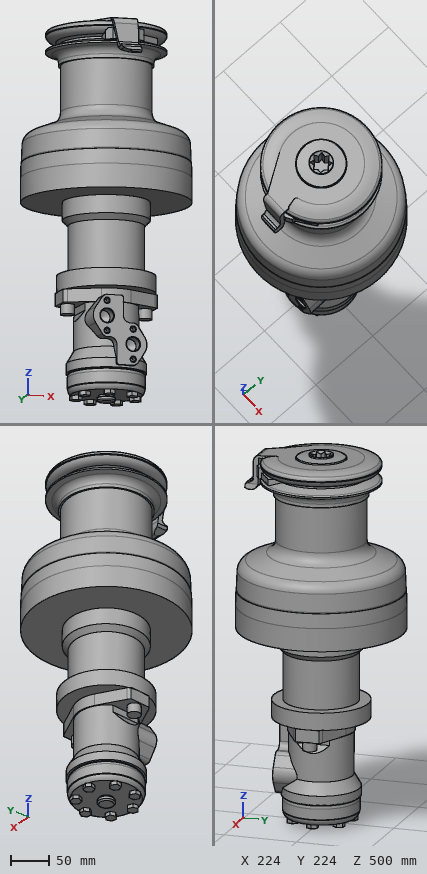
import cadquery as cq
import math


TOP_Z = 500.0
COVER_Z = 495.0
PLATE_RADIUS = 56.5
JAW_RADIUS = 79.5
JAW_SEAM_RADIUS = 78.5
JAW_ROOT_RADIUS = 60.5
DRUM_RADIUS = 60.0
BASE_RADIUS = 112.0
BASE_BOTTOM_Z = 264.5
STUB_RADIUS = 57.5
COLUMN_RADIUS = 50.0
FLANGE_RADIUS = 65.0
FLANGE_TOP_Z = 166.5
FLANGE_BOTTOM_Z = 143.0

CAP_RADIUS = 33.5
CAP_EDGE_Z = 496.5
CAP_CROWN_Z = 498.0
GROOVE_WIDTH = 1.0
GROOVE_DEPTH = 2.0
COLLAR_RADIUS = 16.0
SOCKET_MOUTH_RADIUS = 15.5
SOCKET_MOUTH_DEPTH = 3.0
SOCKET_TIP_RADIUS = 14.0
SOCKET_ROOT_RADIUS = 10.0
SOCKET_POINTS = 8
SOCKET_DEPTH = 30.0

ARM_THICKNESS = 3.5
DROP_THICKNESS = 7.0
NOTCH_X = 27.5
ARM_LEFT_X = -17.0
ARM_RIGHT_X = 17.0
ARM_BEND_Y = -79.0
ARM_OUTER_Y = -88.0
ARM_TIP_Y = -99.0
GUIDE_BOTTOM_Z = 467.0
GUIDE_TOP_Z = 482.0
FINGER_TOP_Z = 475.5

MOTOR_TURN = 2.5
PLATE_BOTTOM_Z = 125.5
PLATE_CENTER_RADIUS = 44.5
PLATE_LOBE_RADIUS = 21.5
PLATE_LOBE_X = 50.5
PLATE_HALF_LENGTH = 65.0
MOUNT_BOLT_X = 53.5
MOUNT_BOLT_DIAMETER = 18.5
MOUNT_BOLT_BOTTOM_Z = 112.5
BODY_RADIUS = 43.0
RELIEF_X = 37.0
RELIEF_STEP_Z = 115.5
RELIEF_END_Z = 104.5
END_COVER_Z = 8.5
COVER_BOLT_COUNT = 7
COVER_BOLT_CIRCLE_RADIUS = 40.0
COVER_BOLT_DIAMETER = 16.0
COVER_BOLT_BOTTOM_Z = 3.0
PLUG_DIAMETER = 24.0
PLUG_CHAMFER = 2.0
PLUG_TOP_Z = 5.5
PLUG_NECK_DIAMETER = 20.0

PAD_FACE_Y = -55.5
PAD_BACK_Y = -20.0
PAD_CENTER_Z = 86.0
PORT_X = 18.0
PORT_Z = 18.0
PORT_DIAMETER = 18.0
PORT_MOUTH_DIAMETER = 20.0
PORT_DEPTH = 15.0
PORT_TIP_DEPTH = 5.0
SCREW_SPACING = 20.0
SCREW_DIAMETER = 6.5
SCREW_MOUTH_DIAMETER = 8.5
SCREW_DEPTH = 10.0
SCREW_TIP_DEPTH = 2.0
LOBE_RADIUS = 19.0
LOBE_END_RADIUS = 8.0
WEB_HALF_WIDTH = 4.5
WEB_CORNER_RADIUS = 3.0
LOBE_BLEND_RADIUS = 9.5


def cylinder(radius, bottom, top, x=0):
    return cq.Workplane("XY", origin=(x, 0, bottom)).circle(radius).extrude(top - bottom)


def winch_body():
    """Revolved rope jaws, drum, base housing and column."""
    profile = (
        cq.Workplane("XZ")
        .moveTo(0, COVER_Z)
        .lineTo(PLATE_RADIUS, COVER_Z)
        .threePointArc((67.0, 494.0), (76.0, 491.5))
        .threePointArc((78.5, 489.5), (JAW_RADIUS, 486.0))
        .lineTo(JAW_SEAM_RADIUS, 486.0)
        .lineTo(JAW_SEAM_RADIUS, 485.0)
        .lineTo(JAW_RADIUS, 485.0)
        .threePointArc((75.5, 479.0), (66.0, 476.5))
        .lineTo(JAW_ROOT_RADIUS, 474.0)
        .lineTo(JAW_ROOT_RADIUS, 471.0)
        .lineTo(76.5, 466.5)
        .lineTo(JAW_RADIUS, 465.0)
        .lineTo(JAW_RADIUS, 462.5)
        .lineTo(71.0, 460.5)
        .threePointArc((65.0, 456.5), (62.5, 450.5))
        .lineTo(62.5, 445.5)
        .lineTo(DRUM_RADIUS, 445.5)
        .lineTo(DRUM_RADIUS, 383.5)
        .tangentArcPoint((71.5, 366.5), relative=False)
        .lineTo(99.0, 356.0)
        .tangentArcPoint((110.0, 342.5), relative=False)
        .lineTo(111.0, 317.5)
        .lineTo(111.0, 316.0)
        .lineTo(111.5, 316.0)
        .lineTo(BASE_RADIUS, 296.0)
        .lineTo(BASE_RADIUS, BASE_BOTTOM_Z)
        .lineTo(STUB_RADIUS, BASE_BOTTOM_Z)
        .lineTo(STUB_RADIUS, 240.5)
        .lineTo(COLUMN_RADIUS, 233.0)
        .lineTo(COLUMN_RADIUS, FLANGE_TOP_Z)
        .lineTo(FLANGE_RADIUS, FLANGE_TOP_Z)
        .lineTo(FLANGE_RADIUS, FLANGE_BOTTOM_Z)
        .lineTo(0, FLANGE_BOTTOM_Z)
        .close()
    )
    return profile.revolve(360, (0, 0, 0), (0, 1, 0))


def handle_cap():
    """Slightly conical cap with a raised collar around the handle socket."""
    return (
        cq.Workplane("XZ")
        .moveTo(0, COVER_Z)
        .lineTo(CAP_RADIUS, COVER_Z)
        .lineTo(CAP_RADIUS, CAP_EDGE_Z)
        .lineTo(COLLAR_RADIUS, CAP_CROWN_Z)
        .lineTo(COLLAR_RADIUS, TOP_Z)
        .lineTo(0, TOP_Z)
        .close()
        .revolve(360, (0, 0, 0), (0, 1, 0))
    )


def cap_groove():
    """Narrow ring groove along the rim of the cap."""
    bottom = COVER_Z - GROOVE_DEPTH
    return cylinder(CAP_RADIUS, bottom, TOP_Z).cut(cylinder(CAP_RADIUS - GROOVE_WIDTH, bottom, TOP_Z))


def socket_cut():
    """Star-shaped socket for the winch handle, with a conical mouth."""
    step = math.pi / SOCKET_POINTS
    points = []
    for i in range(2 * SOCKET_POINTS):
        radius = SOCKET_TIP_RADIUS if i % 2 == 0 else SOCKET_ROOT_RADIUS
        points.append((radius * math.cos(i * step), radius * math.sin(i * step)))
    star = cq.Workplane("XY", origin=(0, 0, TOP_Z)).polyline(points).close().extrude(-SOCKET_DEPTH)
    mouth = (
        cq.Workplane("XZ", origin=(0, 0, TOP_Z))
        .polyline([(0, 0), (SOCKET_MOUTH_RADIUS, 0), (SOCKET_ROOT_RADIUS, -SOCKET_MOUTH_DEPTH),
                   (0, -SOCKET_MOUTH_DEPTH)])
        .close()
        .revolve(360, (0, 0, 0), (0, 1, 0))
    )
    return star.union(mouth)


def stripper_plate():
    """Round plate with a tapering tongue that runs out to the arm bend."""
    corner_distance = math.hypot(ARM_LEFT_X, ARM_BEND_Y)
    corner_angle = math.atan2(ARM_BEND_Y, ARM_LEFT_X)
    tangent_angle = corner_angle - math.acos(PLATE_RADIUS / corner_distance)
    tangent = (PLATE_RADIUS * math.cos(tangent_angle), PLATE_RADIUS * math.sin(tangent_angle))
    notch = (NOTCH_X, -math.sqrt(PLATE_RADIUS**2 - NOTCH_X**2))
    return (
        cq.Workplane("XY", origin=(0, 0, COVER_Z))
        .moveTo(*tangent)
        .threePointArc((0, PLATE_RADIUS), notch)
        .lineTo(16.5, -54.0)
        .threePointArc((13.0, -56.0), (12.5, -60.0))
        .lineTo(ARM_RIGHT_X, ARM_BEND_Y)
        .lineTo(ARM_LEFT_X, ARM_BEND_Y)
        .close()
        .extrude(-ARM_THICKNESS)
    )


def stripper_arm():
    """Arm that bends down over the jaws and ends in a small outward foot."""
    inner_y = ARM_OUTER_Y + DROP_THICKNESS
    width = 50
    side = (
        cq.Workplane("YZ", origin=(-width / 2, 0, 0))
        .moveTo(ARM_BEND_Y + DROP_THICKNESS, COVER_Z)
        .lineTo(ARM_BEND_Y, COVER_Z)
        .threePointArc((-85.5, 492.5), (ARM_OUTER_Y, 486.5))
        .lineTo(ARM_OUTER_Y, 462.0)
        .threePointArc((-90.0, 459.5), (-93.5, 457.5))
        .lineTo(-97.0, 457.5)
        .lineTo(ARM_TIP_Y, 454.5)
        .lineTo(ARM_TIP_Y, 450.5)
        .lineTo(-95.0, 448.5)
        .lineTo(-89.0, 448.5)
        .threePointArc((-83.5, 451.5), (inner_y, 458.5))
        .lineTo(inner_y, COVER_Z - ARM_THICKNESS)
        .lineTo(ARM_BEND_Y + DROP_THICKNESS, COVER_Z - ARM_THICKNESS)
        .close()
        .extrude(width)
    )
    front = (
        cq.Workplane("XZ")
        .polyline([(ARM_LEFT_X, COVER_Z), (-8.0, 456.0), (-5.0, 452.5),
                   (11.0, 447.5), (20.0, 447.5), (18.0, 456.0), (ARM_RIGHT_X, COVER_Z)])
        .close()
        .extrude(-ARM_TIP_Y)
    )
    return side.intersect(front)


def rope_guide():
    """Block in the jaw groove that joins the arm to the drum, with a lower finger along the groove."""
    block = (
        cq.Workplane("XY", origin=(0, 0, GUIDE_BOTTOM_Z))
        .polyline([(-15.0, -81.5), (20.0, -81.5), (28.5, -76.5), (28.5, -45.0), (-22.5, -45.0), (-22.5, -72.5)])
        .close()
        .extrude(GUIDE_TOP_Z - GUIDE_BOTTOM_Z)
    )
    finger = (
        cq.Workplane("XY", origin=(0, 0, GUIDE_BOTTOM_Z))
        .polyline([(25.0, -72.5), (28.5, -72.5), (53.5, -55.0), (45.0, -30.0), (25.0, -45.0)])
        .close()
        .extrude(FINGER_TOP_Z - GUIDE_BOTTOM_Z)
    )
    return block.union(finger)


def motor_body():
    """Revolved motor body, wider gear section and end cover, with bolt reliefs."""
    body = (
        cq.Workplane("XZ")
        .moveTo(0, PLATE_BOTTOM_Z)
        .lineTo(BODY_RADIUS, PLATE_BOTTOM_Z)
        .lineTo(BODY_RADIUS, 66.0)
        .lineTo(52.5, 49.5)
        .lineTo(52.5, 37.0)
        .lineTo(49.5, 37.0)
        .lineTo(49.5, 35.5)
        .lineTo(50.5, 35.5)
        .lineTo(51.0, 31.5)
        .lineTo(51.0, 17.0)
        .lineTo(50.5, 16.0)
        .threePointArc((49.5, 12.0), (47.0, END_COVER_Z))
        .lineTo(0, END_COVER_Z)
        .close()
        .revolve(360, (0, 0, 0), (0, 1, 0))
    )
    span = 2 * BODY_RADIUS
    relief = (
        cq.Workplane("XZ", origin=(0, span / 2, 0))
        .polyline([(RELIEF_X, PLATE_BOTTOM_Z), (RELIEF_X, RELIEF_STEP_Z), (BODY_RADIUS, RELIEF_END_Z),
                   (span, RELIEF_END_Z), (span, PLATE_BOTTOM_Z)])
        .close()
        .extrude(span)
    )
    return body.cut(relief).cut(relief.mirror("YZ"))


def motor_plate():
    """Two-bolt mounting plate: a round middle with tangent flanks to the bolt lobes."""
    lean = math.acos((PLATE_CENTER_RADIUS - PLATE_LOBE_RADIUS) / PLATE_LOBE_X)
    flank = []
    for center_x, radius in ((0, PLATE_CENTER_RADIUS), (PLATE_LOBE_X, PLATE_LOBE_RADIUS)):
        flank.append((center_x + radius * math.cos(lean), radius * math.sin(lean)))
    (inner_x, inner_y), (outer_x, outer_y) = flank
    outline = [(-outer_x, outer_y), (-inner_x, inner_y), (inner_x, inner_y), (outer_x, outer_y),
               (outer_x, -outer_y), (inner_x, -inner_y), (-inner_x, -inner_y), (-outer_x, -outer_y)]
    height = FLANGE_BOTTOM_Z - PLATE_BOTTOM_Z
    plate = cq.Workplane("XY", origin=(0, 0, PLATE_BOTTOM_Z)).polyline(outline).close().extrude(height)
    plate = plate.union(cylinder(PLATE_CENTER_RADIUS, PLATE_BOTTOM_Z, FLANGE_BOTTOM_Z))
    for side in (-1, 1):
        lobe = cylinder(PLATE_LOBE_RADIUS, PLATE_BOTTOM_Z, FLANGE_BOTTOM_Z, side * PLATE_LOBE_X)
        plate = plate.union(lobe)
    trim = cq.Workplane("XY").box(2 * PLATE_HALF_LENGTH, 2 * FLANGE_RADIUS, 2 * FLANGE_BOTTOM_Z)
    plate = plate.intersect(trim)
    for side in (-1, 1):
        bolt = cylinder(MOUNT_BOLT_DIAMETER / 2, MOUNT_BOLT_BOTTOM_Z, FLANGE_BOTTOM_Z, side * MOUNT_BOLT_X)
        plate = plate.union(bolt)
    return plate


def end_cover_fasteners():
    """Ring of hexagon bolt heads around the necked centre plug."""
    height = END_COVER_Z - COVER_BOLT_BOTTOM_Z
    heads = (
        cq.Workplane("XY", origin=(0, 0, COVER_BOLT_BOTTOM_Z))
        .polarArray(COVER_BOLT_CIRCLE_RADIUS, 0, 360, COVER_BOLT_COUNT)
        .polygon(6, COVER_BOLT_DIAMETER)
        .extrude(height)
    )
    plug = cylinder(PLUG_DIAMETER / 2, 0, PLUG_TOP_Z).faces("<Z").chamfer(PLUG_CHAMFER)
    neck = cylinder(PLUG_NECK_DIAMETER / 2, PLUG_TOP_Z, END_COVER_Z)
    return heads.union(plug).union(neck)


def pad_lobe(side):
    """Lobe around one port: the outer half is a big arc with tangent lines to two small end arcs."""
    center_x = side * PORT_X
    center_z = PAD_CENTER_Z - side * PORT_Z
    sine = (LOBE_RADIUS - LOBE_END_RADIUS) / SCREW_SPACING
    cosine = math.sqrt(1 - sine**2)
    mid_angle = (math.asin(sine) + math.pi / 2) / 2
    end_height = SCREW_SPACING + LOBE_END_RADIUS
    end_mid = (LOBE_END_RADIUS * math.cos(mid_angle), SCREW_SPACING + LOBE_END_RADIUS * math.sin(mid_angle))
    end_tangent = (LOBE_END_RADIUS * cosine, SCREW_SPACING + LOBE_END_RADIUS * sine)
    big_tangent = (LOBE_RADIUS * cosine, LOBE_RADIUS * sine)

    def upper(point):
        return (center_x + side * point[0], center_z + point[1])

    def lower(point):
        return (center_x + side * point[0], center_z - point[1])

    return (
        cq.Workplane("XZ", origin=(0, PAD_BACK_Y, 0))
        .moveTo(0, center_z + end_height)
        .lineTo(*upper((0, end_height)))
        .threePointArc(upper(end_mid), upper(end_tangent))
        .lineTo(*upper(big_tangent))
        .threePointArc(upper((LOBE_RADIUS, 0)), lower(big_tangent))
        .lineTo(*lower(end_tangent))
        .threePointArc(lower(end_mid), lower((0, end_height)))
        .lineTo(0, center_z - end_height)
        .close()
        .extrude(PAD_BACK_Y - PAD_FACE_Y)
    )


def port_pad():
    """S-shaped pad: two lobes on a narrow web, blended where each lobe leaves the web."""
    web_height = 2 * (PORT_Z + SCREW_SPACING + LOBE_END_RADIUS)
    web = (
        cq.Workplane("XZ", origin=(0, PAD_BACK_Y, PAD_CENTER_Z))
        .rect(2 * WEB_HALF_WIDTH, web_height)
        .extrude(PAD_BACK_Y - PAD_FACE_Y)
    )
    pad = web.union(pad_lobe(-1)).union(pad_lobe(1))
    blend_z = SCREW_SPACING + LOBE_END_RADIUS - PORT_Z
    middle_y = (PAD_FACE_Y + PAD_BACK_Y) / 2
    for side in (-1, 1):
        x = side * WEB_HALF_WIDTH
        corner = (x, middle_y, PAD_CENTER_Z + side * web_height / 2)
        root = (x, middle_y, PAD_CENTER_Z + side * blend_z)
        pad = pad.edges(cq.selectors.NearestToPointSelector(corner)).fillet(WEB_CORNER_RADIUS)
        pad = pad.edges(cq.selectors.NearestToPointSelector(root)).fillet(LOBE_BLEND_RADIUS)
    return pad


def drilled_hole(x, z, diameter, mouth_diameter, depth, tip_depth):
    """Hole from the pad face with a countersunk mouth and a conical bottom."""
    radius = diameter / 2
    mouth_radius = mouth_diameter / 2
    mouth_depth = mouth_radius - radius
    return (
        cq.Workplane("XY", origin=(x, PAD_FACE_Y, z))
        .polyline([(0, 0), (mouth_radius, 0), (radius, mouth_depth), (radius, depth), (0, depth + tip_depth)])
        .close()
        .revolve(360, (0, 0, 0), (0, 1, 0))
    )


def motor():
    """Complete motor with its port and screw holes, turned to its mounted angle."""
    assembly = motor_body().union(motor_plate()).union(end_cover_fasteners()).union(port_pad())
    for side in (-1, 1):
        x = side * PORT_X
        z = PAD_CENTER_Z - side * PORT_Z
        port = drilled_hole(x, z, PORT_DIAMETER, PORT_MOUTH_DIAMETER, PORT_DEPTH, PORT_TIP_DEPTH)
        assembly = assembly.cut(port)
        for offset in (-SCREW_SPACING, SCREW_SPACING):
            hole = drilled_hole(
                x, z + offset, SCREW_DIAMETER, SCREW_MOUTH_DIAMETER, SCREW_DEPTH, SCREW_TIP_DEPTH
            )
            assembly = assembly.cut(hole)
    return assembly.rotate((0, 0, 0), (0, 0, 1), MOTOR_TURN)


winch = winch_body().union(handle_cap()).union(stripper_plate()).union(rope_guide()).union(stripper_arm())
winch = winch.cut(cap_groove()).cut(socket_cut())
result = winch.union(motor())